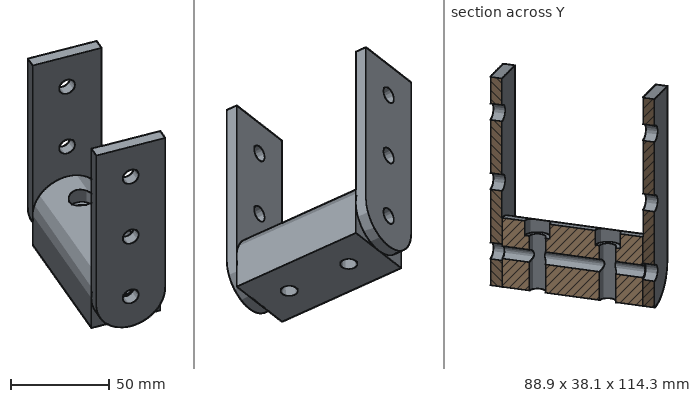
import cadquery as cq

plate_height = 114.3
width = 38.1
plate_thickness = 6.4
block_length = 76.1

end_radius = width / 2
base_z = -end_radius
plate_top_z = base_z + plate_height

plate_hole_diameter = 8.7
plate_hole_pitch = width
plate_hole_count = 3
axial_bore_diameter = 6.5
mount_hole_diameter = 8.7
counterbore_diameter = 13.4
counterbore_depth = 8.0
counterbore_floor_z = end_radius - counterbore_depth
mount_hole_spacing = block_length / 2


def make_plate(start_x):
    """Flat side plate with a rounded lower end and a row of holes along Z."""
    plate = (
        cq.Workplane("YZ", origin=(start_x, 0, 0))
        .moveTo(-end_radius, plate_top_z)
        .lineTo(-end_radius, 0)
        .threePointArc((0, base_z), (end_radius, 0))
        .lineTo(end_radius, plate_top_z)
        .close()
        .extrude(plate_thickness)
    )
    hole_centers = [(0, i * plate_hole_pitch) for i in range(plate_hole_count)]
    holes = (
        cq.Workplane("YZ", origin=(start_x, 0, 0))
        .pushPoints(hole_centers)
        .circle(plate_hole_diameter / 2)
        .extrude(plate_thickness)
    )
    return plate.cut(holes)


def make_block():
    """Block with a half-round top, an axial bore and two counterbored holes."""
    block = (
        cq.Workplane("YZ", origin=(-block_length / 2, 0, 0))
        .moveTo(-end_radius, base_z)
        .lineTo(end_radius, base_z)
        .lineTo(end_radius, 0)
        .threePointArc((0, end_radius), (-end_radius, 0))
        .close()
        .extrude(block_length)
    )
    axial_bore = (
        cq.Workplane("YZ", origin=(-block_length / 2, 0, 0))
        .circle(axial_bore_diameter / 2)
        .extrude(block_length)
    )
    hole_centers = [(-mount_hole_spacing / 2, 0), (mount_hole_spacing / 2, 0)]
    mount_holes = (
        cq.Workplane("XY", origin=(0, 0, base_z))
        .pushPoints(hole_centers)
        .circle(mount_hole_diameter / 2)
        .extrude(width)
    )
    counterbores = (
        cq.Workplane("XY", origin=(0, 0, counterbore_floor_z))
        .pushPoints(hole_centers)
        .circle(counterbore_diameter / 2)
        .extrude(counterbore_depth)
    )
    return block.cut(axial_bore).cut(mount_holes).cut(counterbores)


block = make_block()
plate_starts = [-block_length / 2 - plate_thickness, block_length / 2]
plates = [make_plate(start_x) for start_x in plate_starts]

result = cq.Compound.makeCompound([block.val(), *[plate.val() for plate in plates]])